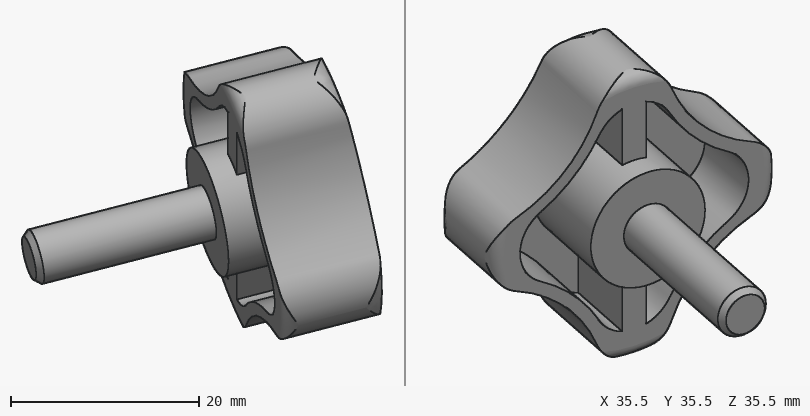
import math

import cadquery as cq


GRIP_RADIUS = 17.75
GRIP_HEIGHT = 12.7
DOME_RADIUS = 105.0
DOME_EDGE_FILLET = 2.5
UNDERSIDE_EDGE_FILLET = 1.5

LOBE_COUNT = 4
HALF_LOBE_PITCH = 360 / LOBE_COUNT / 2
LOBE_RADIUS = 5.0
HOLLOW_CENTER = 20.9

RECESS_TIP_RADIUS = 14.2
RECESS_DEPTH = 9.0
RIB_WIDTH = 3.0

BOSS_DIAMETER = 14.2
BOSS_PROJECTION = 2.8
STUD_DIAMETER = 6.0
STUD_LENGTH = 20.0
STUD_TIP_DIAMETER = 4.8
STUD_CHAMFER_LENGTH = 0.7


def underside_plane(y=0.0):
    """Sketch plane across the axis; local x is X, local y is Z, extrusion goes to -Y."""
    return cq.Workplane("XZ", origin=(0, y, 0))


def rotate_point(point, angle):
    x, z = point
    cos_a = math.cos(angle)
    sin_a = math.sin(angle)
    return (x * cos_a - z * sin_a, x * sin_a + z * cos_a)


def lobed_outline(plane, tip_radius):
    """Closed outline of four lobes joined by tangent hollows."""
    lobe_center = tip_radius - LOBE_RADIUS
    toward_hollow = math.atan2(HOLLOW_CENTER, HOLLOW_CENTER - lobe_center)
    tangent_x = lobe_center + LOBE_RADIUS * math.cos(toward_hollow)
    tangent_z = LOBE_RADIUS * math.sin(toward_hollow)
    center_distance = math.hypot(HOLLOW_CENTER - lobe_center, HOLLOW_CENTER)
    hollow_radius = center_distance - LOBE_RADIUS
    hollow_bottom = HOLLOW_CENTER - hollow_radius / math.sqrt(2)

    outline = plane.moveTo(tangent_x, -tangent_z)
    for index in range(LOBE_COUNT):
        angle = 2 * math.pi * index / LOBE_COUNT
        lobe_tip = rotate_point((tip_radius, 0), angle)
        lobe_end = rotate_point((tangent_x, tangent_z), angle)
        hollow_middle = rotate_point((hollow_bottom, hollow_bottom), angle)
        next_lobe_start = rotate_point((tangent_z, tangent_x), angle)
        outline = outline.threePointArc(lobe_tip, lobe_end)
        outline = outline.threePointArc(hollow_middle, next_lobe_start)
    return outline.close()


def domed_blank():
    """Turned disc with a flat underside, a domed top and rounded edges."""
    rim_drop = DOME_RADIUS - math.sqrt(DOME_RADIUS**2 - GRIP_RADIUS**2)
    half_radius = GRIP_RADIUS / 2
    half_drop = DOME_RADIUS - math.sqrt(DOME_RADIUS**2 - half_radius**2)
    blank = (
        cq.Workplane("XY")
        .lineTo(GRIP_RADIUS, 0)
        .lineTo(GRIP_RADIUS, GRIP_HEIGHT - rim_drop)
        .threePointArc((half_radius, GRIP_HEIGHT - half_drop), (0, GRIP_HEIGHT))
        .close()
        .revolve(360, (0, 0, 0), (0, 1, 0))
    )
    blank = blank.faces("%CYLINDER").edges("%CIRCLE and >Y").fillet(DOME_EDGE_FILLET)
    blank = blank.faces("<Y").edges().fillet(UNDERSIDE_EDGE_FILLET)
    return blank.rotate((0, 0, 0), (0, 1, 0), HALF_LOBE_PITCH)


def grip():
    lobes = lobed_outline(underside_plane(), GRIP_RADIUS).extrude(-GRIP_HEIGHT)
    return domed_blank().intersect(lobes)


def recess():
    """Hollow space under the grip, leaving the rib standing."""
    space = lobed_outline(underside_plane(), RECESS_TIP_RADIUS).extrude(-RECESS_DEPTH)
    rib = underside_plane().rect(RIB_WIDTH, 2 * GRIP_RADIUS).extrude(-RECESS_DEPTH)
    return space.cut(rib)


def boss():
    height = RECESS_DEPTH + BOSS_PROJECTION
    return underside_plane(RECESS_DEPTH).circle(BOSS_DIAMETER / 2).extrude(height)


def stud():
    rod = underside_plane(-BOSS_PROJECTION).circle(STUD_DIAMETER / 2).extrude(STUD_LENGTH)
    chamfer_width = (STUD_DIAMETER - STUD_TIP_DIAMETER) / 2
    return rod.faces("<Y").chamfer(STUD_CHAMFER_LENGTH, chamfer_width)


result = grip().cut(recess()).union(boss()).union(stud())